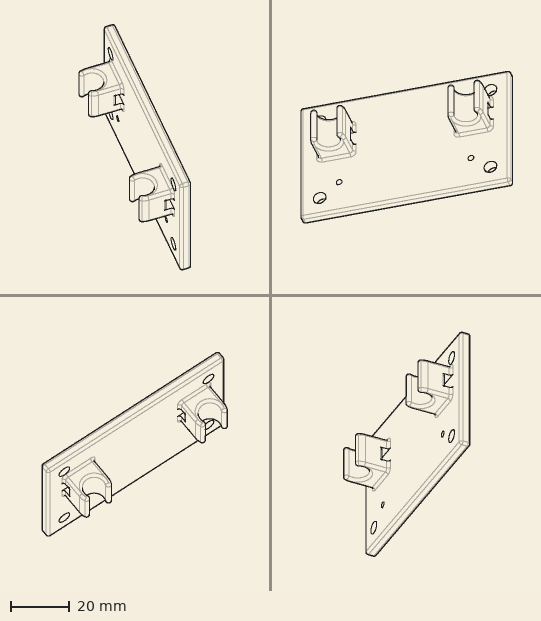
import cadquery as cq
import math

plate_width = 75.0
plate_height = 46.5
plate_thickness = 4.0
edge_round = 1.0

screw_hole_diameter = 4.5
screw_hole_x = 30.5
screw_hole_z = 16.2
pin_hole_diameter = 2.0
pin_hole_x = 23.55
pin_hole_z = -11.0

clip_reach = 12.0
clip_x = 24.5
clip_z = 6.2
clip_width = 12.2
clip_height = 13.05
bore_diameter = 8.0
bore_offset = 9.0
wall_thickness = (clip_width - bore_diameter) / 2
rim_clearance = 0.01
rim_round = wall_thickness / 2 - rim_clearance

window_height = 5.0
window_depth = 2.4

pick_margin = 0.1


def make_plate():
    """Plate with every edge rounded."""
    plate = cq.Workplane("XY").box(plate_width, plate_thickness, plate_height)
    return plate.edges().fillet(edge_round).translate((0, plate_thickness / 2, 0))


def make_clip_outline():
    """C-shaped clip outline in XY: a straight foot, then two curved jaws with round tips."""
    outer_radius = clip_width / 2
    bore_radius = bore_diameter / 2
    middle_radius = (outer_radius + bore_radius) / 2
    tip_radius = wall_thickness / 2
    jaw_angle = math.asin((clip_reach - tip_radius - bore_offset) / middle_radius)

    def around_bore(radius, angle):
        """Point at an angle below the bore axis on the +X side."""
        return radius * math.cos(angle), -bore_offset - radius * math.sin(angle)

    def mirrored(point):
        return -point[0], point[1]

    outer_middle = around_bore(outer_radius, jaw_angle / 2)
    outer_end = around_bore(outer_radius, jaw_angle)
    inner_end = around_bore(bore_radius, jaw_angle)
    tip_centre = around_bore(middle_radius, jaw_angle)
    tip = (
        tip_centre[0] - tip_radius * math.sin(jaw_angle),
        tip_centre[1] - tip_radius * math.cos(jaw_angle),
    )
    return (
        cq.Workplane("XY")
        .moveTo(-outer_radius, 0)
        .lineTo(outer_radius, 0)
        .lineTo(outer_radius, -bore_offset)
        .threePointArc(outer_middle, outer_end)
        .threePointArc(tip, inner_end)
        .threePointArc((0, -bore_offset + bore_radius), mirrored(inner_end))
        .threePointArc(mirrored(tip), mirrored(outer_end))
        .threePointArc(mirrored(outer_middle), (-outer_radius, -bore_offset))
        .close()
    )


def make_clip():
    """Clip centred on X and Z, with the rims of its two ends rounded except along the foot."""
    clip = make_clip_outline().extrude(clip_height / 2, both=True)
    return clip.faces("<Z or >Z").edges("not >Y").fillet(rim_round)


def edges_in_slab(x, y, z, width, height):
    """Selector for edges lying at depth y within a width by height area around (x, z)."""
    half_width = width / 2 + pick_margin
    half_height = height / 2 + pick_margin
    return cq.selectors.BoxSelector(
        (x - half_width, y - pick_margin, z - half_height),
        (x + half_width, y + pick_margin, z + half_height),
        boundingbox=True,
    )


def add_clip(body, x):
    """Join a clip to the plate, blend its foot into the face and open its window."""
    body = body.union(make_clip().translate((x, 0, clip_z)))
    body = body.edges(edges_in_slab(x, 0, clip_z, clip_width, clip_height)).fillet(edge_round)

    window_length = clip_width + 2 * edge_round
    window = (
        cq.Workplane("XY")
        .box(window_length, window_depth, window_height)
        .translate((x, -window_depth / 2, clip_z))
    )
    body = body.cut(window)

    for side in (-1, 1):
        wall_end_x = x + side * clip_width / 2
        wall_end = edges_in_slab(wall_end_x, -window_depth, clip_z, 0, window_height)
        body = body.edges(wall_end).fillet(edge_round)
    return body


def holes(diameter, points):
    """Cylinders through the plate thickness at the given (x, z) points."""
    return (
        cq.Workplane("XZ")
        .pushPoints(points)
        .circle(diameter / 2)
        .extrude(-plate_thickness)
    )


result = make_plate()
for clip_side in (-1, 1):
    result = add_clip(result, clip_side * clip_x)

screw_points = [(i * screw_hole_x, k * screw_hole_z) for i in (-1, 1) for k in (-1, 1)]
pin_points = [(i * pin_hole_x, pin_hole_z) for i in (-1, 1)]
result = result.cut(holes(screw_hole_diameter, screw_points))
result = result.cut(holes(pin_hole_diameter, pin_points))